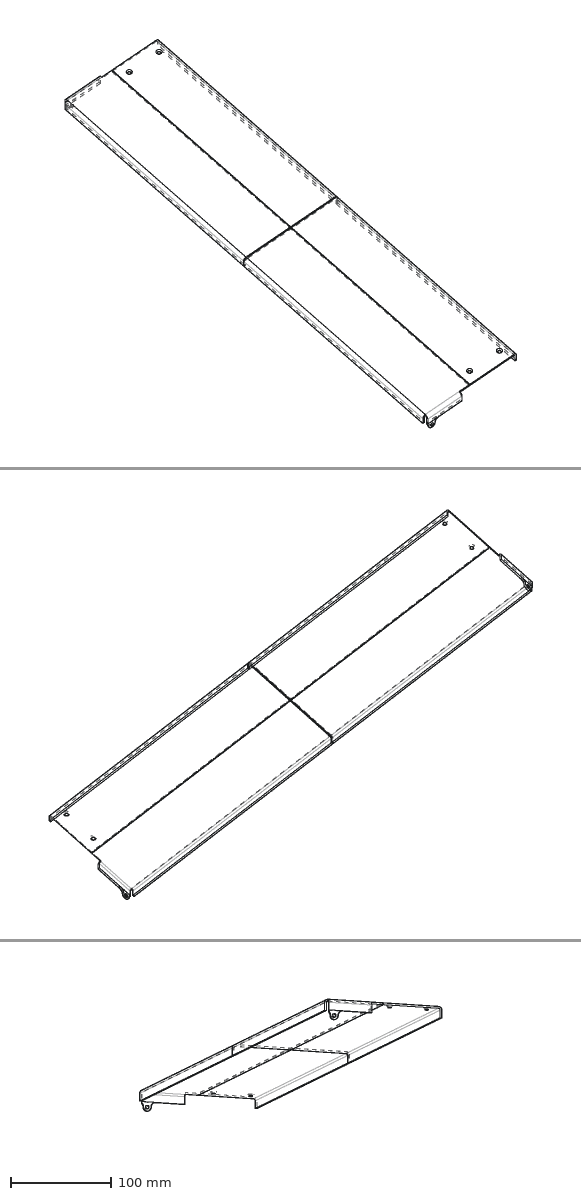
import cadquery as cq

LENGTH = 550.0
DEPTH = 125.0
HEIGHT = 21.0

SHEET = 2.0
BEND_RADIUS = 4.0
INNER_RADIUS = BEND_RADIUS - SHEET
SKIRT_HEIGHT = 11.5
CENTER_GAP = 1.0
ROW_GAP = 0.5
PANEL_END = LENGTH / 2 - BEND_RADIUS
PANEL_LENGTH = PANEL_END - CENTER_GAP / 2

HOLE_DIAMETER = 3.4
COUNTERSINK_DIAMETER = 6.0
COUNTERSINK_ANGLE = 90
HOLE_X = 258.0
HOLE_Y = (11.5, 51.0)

FRONT_EDGE = -DEPTH / 2
FLANGE_START = FRONT_EDGE + 3.5
FLANGE_END = FRONT_EDGE + 49.0

LUG_Y = FRONT_EDGE + 9.1
LUG_RADIUS = 4.1
LUG_Z = LUG_RADIUS - HEIGHT
LUG_HOLE_DIAMETER = 3.5
LUG_FILLET = -SKIRT_HEIGHT - LUG_Z


def bent_profile(plane, reach):
    """Closed sheet section: a flat of the given reach, a bend, then a leg pointing down."""
    return (
        cq.Workplane(plane)
        .moveTo(0, 0)
        .lineTo(reach - BEND_RADIUS, 0)
        .radiusArc((reach, -BEND_RADIUS), BEND_RADIUS)
        .lineTo(reach, -SKIRT_HEIGHT)
        .lineTo(reach - SHEET, -SKIRT_HEIGHT)
        .lineTo(reach - SHEET, -BEND_RADIUS)
        .radiusArc((reach - BEND_RADIUS, -SHEET), -INNER_RADIUS)
        .lineTo(0, -SHEET)
        .close()
    )


def skirted_panel():
    """Panel on the +X, +Y quarter, with its skirt along the outer Y edge."""
    reach = (DEPTH - ROW_GAP) / 2
    panel = bent_profile("YZ", reach).extrude(PANEL_LENGTH)
    return panel.translate((CENTER_GAP / 2, ROW_GAP / 2, 0))


def rear_panel():
    """Rear panel on the +X side, with two countersunk screw holes."""
    return (
        skirted_panel()
        .faces(">Z")
        .workplane(origin=(0, 0, 0))
        .pushPoints([(HOLE_X, y) for y in HOLE_Y])
        .cskHole(HOLE_DIAMETER, COUNTERSINK_DIAMETER, COUNTERSINK_ANGLE)
    )


def front_panel():
    """Front panel on the +X side, with a flange bent down at its outer end."""
    flange = (
        bent_profile("XZ", (LENGTH - CENTER_GAP) / 2)
        .extrude(FLANGE_START - FLANGE_END)
        .translate((CENTER_GAP / 2, FLANGE_START, 0))
    )
    return skirted_panel().mirror("XZ").union(flange)


def lug():
    """Lug plate on the +X side: round end, flared sides, trimmed flush with the flange."""
    front = LUG_Y - LUG_RADIUS
    rear = LUG_Y + LUG_RADIUS
    plate = (
        cq.Workplane("YZ", origin=(LENGTH / 2 - SHEET, 0, 0))
        .moveTo(front - LUG_FILLET, -SKIRT_HEIGHT)
        .radiusArc((front, LUG_Z), LUG_FILLET)
        .threePointArc((LUG_Y, -HEIGHT), (rear, LUG_Z))
        .radiusArc((rear + LUG_FILLET, -SKIRT_HEIGHT), LUG_FILLET)
        .close()
        .moveTo(LUG_Y, LUG_Z)
        .circle(LUG_HOLE_DIAMETER / 2)
        .extrude(SHEET)
    )
    flange_span = (
        cq.Workplane("XY")
        .box(LENGTH, FLANGE_END - FLANGE_START, 2 * HEIGHT, centered=(True, False, True))
        .translate((0, FLANGE_START, 0))
    )
    return plate.intersect(flange_span)


bodies = []
for body in (rear_panel(), front_panel(), lug()):
    bodies.append(body.solids().val())
    bodies.append(body.mirror("YZ").solids().val())

result = cq.Compound.makeCompound(bodies)